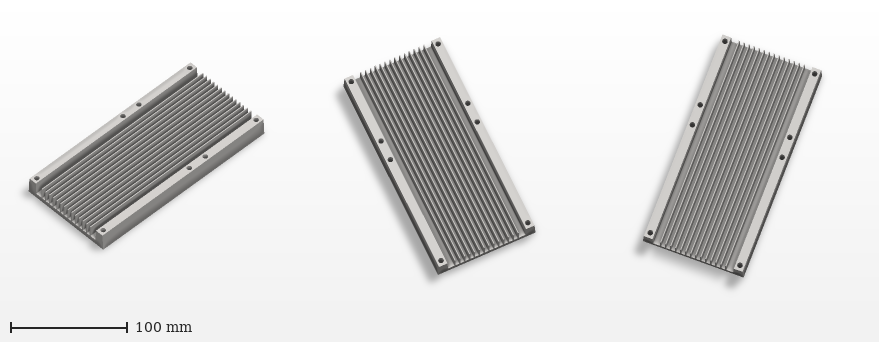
import cadquery as cq

LENGTH = 191.0
BASE_WIDTH = 92.0
HEIGHT = 17.4

FLOOR_THICKNESS = 4.8
TOP_WIDTH = 90.2
CHANNEL_TOP_WIDTH = 74.3
CHANNEL_FLOOR_WIDTH = 73.2

FIN_COUNT = 14
FIN_PITCH = 4.5
FIN_THICKNESS = 1.0
FIN_TOP_Z = 16.2

ROOT_RADIUS = 0.67

HOLE_DIAMETER = 4.8
HOLE_SPACING_X = 82.0
HOLE_YS = (-90.7, 11.5, 30.4, 90.5)


def channel():
    right_half = [
        (BASE_WIDTH / 2, 0),
        (TOP_WIDTH / 2, HEIGHT),
        (CHANNEL_TOP_WIDTH / 2, HEIGHT),
        (CHANNEL_FLOOR_WIDTH / 2, FLOOR_THICKNESS),
    ]
    left_half = [(-x, z) for x, z in reversed(right_half)]
    profile = cq.Workplane("XZ").polyline(right_half + left_half).close()
    return profile.extrude(LENGTH / 2, both=True)


def fin(x):
    half_thickness = FIN_THICKNESS / 2
    shoulder_z = FIN_TOP_Z - half_thickness
    return (
        cq.Workplane("XZ")
        .moveTo(x - half_thickness, 0)
        .lineTo(x + half_thickness, 0)
        .lineTo(x + half_thickness, shoulder_z)
        .threePointArc((x, FIN_TOP_Z), (x - half_thickness, shoulder_z))
        .close()
        .extrude(LENGTH / 2, both=True)
    )


def fillet_floor_corners(solid):
    """Round the lengthwise corners where the fins and rails meet the floor."""
    margin = 0.2
    half_width = CHANNEL_FLOOR_WIDTH / 2 + margin
    floor_level = cq.selectors.BoxSelector(
        (-half_width, -LENGTH, FLOOR_THICKNESS - margin),
        (half_width, LENGTH, FLOOR_THICKNESS + margin),
    )
    return solid.edges("|Y").edges(floor_level).fillet(ROOT_RADIUS)


def mounting_holes():
    centres = [(side * HOLE_SPACING_X / 2, y) for side in (-1, 1) for y in HOLE_YS]
    return cq.Workplane("XY").pushPoints(centres).circle(HOLE_DIAMETER / 2).extrude(HEIGHT)


body = channel()
for index in range(FIN_COUNT):
    body = body.union(fin((index - (FIN_COUNT - 1) / 2) * FIN_PITCH))
body = fillet_floor_corners(body)

result = body.cut(mounting_holes())